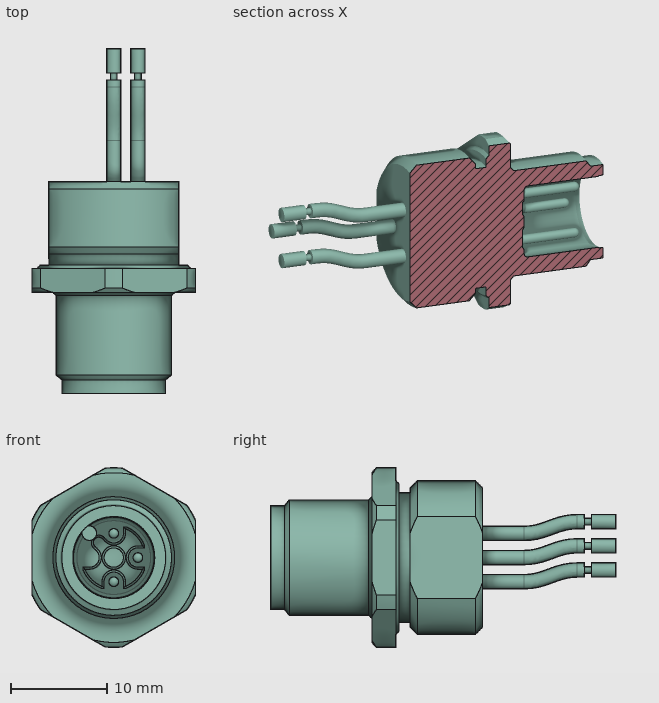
import cadquery as cq
import math


nose_end = 1.45
thread_start = 1.95
thread_end = 10.18
hex_front = 10.5
hex_back = 13.0
collar_back = 13.35
neck_end = 14.5
body_back = 22.0
body_chamfer_length = 0.75

nose_dia = 10.8
thread_dia = 12.0
thread_runout_dia = 12.65
collar_back_dia = 15.3
neck_dia = 13.5
body_dia = 16.0
body_end_dia = 14.45
collar_front_dia = body_dia
body_flat_width = neck_dia

hex_across_flats = 17.0
hex_half_angle = 30
hex_corner_dia = 18.68
hex_face_dia = 17.65
hex_chamfer_length = 0.45

mouth_dia = 8.55
mouth_depth = 0.5
bore_dia = 8.4
bore_depth = 8.95
bore_floor_fillet = 0.35
key_dia = 1.5
key_radial_offset = 3.6
key_angle = 135

recess_depth = 0.2
wall_run = 0.2
wall_draft = math.degrees(math.atan2(wall_run, recess_depth))
recess_floor_dia = 6.45
recess_floor_width = 5.95
pad_dia = 2.0
pad_foot_dia = pad_dia + 2 * wall_run
key_slot_reach = 2.98

contact_offset = 2.5
pin_dia = 1.0
pin_tip = 2.0
contact_centres = [(0, contact_offset), (contact_offset, 0), (0, -contact_offset)]
pad_angles = [0, 90, 180, 270]

wire_dia = 1.5
core_dia = 0.7
wire_rise = 1.22
bend_start = 26.3
bend_end = 31.85
sleeve_end = 32.6
core_end = 33.3
wire_end = 35.85


def section(y):
    """Sketch plane across the axis at station y, facing the mating end."""
    return cq.Workplane("XZ", origin=(0, y, 0))


def cylinder(dia, y_start, y_end, centre=(0, 0)):
    return section(y_end).center(*centre).circle(dia / 2).extrude(y_end - y_start)


def turned(stations):
    """Solid of revolution about Y through (diameter, y) stations."""
    outline = [(dia / 2, y) for dia, y in stations]
    first_y = stations[0][1]
    last_y = stations[-1][1]
    points = [(0, first_y)] + outline + [(0, last_y)]
    return cq.Workplane("XY").polyline(points).close().revolve(360, (0, 0, 0), (0, 1, 0))


def make_front_shell():
    return turned([
        (nose_dia, 0),
        (nose_dia, nose_end),
        (thread_dia, thread_start),
        (thread_dia, thread_end),
        (thread_runout_dia, hex_front),
    ])


def make_hex_flange():
    corner_to_corner = hex_across_flats / math.cos(math.radians(hex_half_angle))
    prism = (
        section(hex_back)
        .transformed(rotate=(0, 0, hex_half_angle))
        .polygon(6, corner_to_corner)
        .extrude(hex_back - hex_front)
    )
    blank = turned([
        (hex_face_dia, hex_front),
        (hex_corner_dia, hex_front + hex_chamfer_length),
        (hex_corner_dia, hex_back),
    ])
    return prism.intersect(blank)


def make_rear_shell():
    neck = turned([
        (collar_front_dia, hex_back),
        (collar_back_dia, collar_back),
        (neck_dia, collar_back),
        (neck_dia, neck_end),
    ])
    body = turned([
        (body_end_dia, neck_end),
        (body_dia, neck_end + body_chamfer_length),
        (body_dia, body_back - body_chamfer_length),
        (body_end_dia, body_back),
    ])
    flats = section(body_back).rect(body_flat_width, body_dia).extrude(body_back - neck_end)
    return neck.union(body.intersect(flats))


def make_socket():
    mouth = cylinder(mouth_dia, 0, mouth_depth)
    bore = cylinder(bore_dia, mouth_depth, bore_depth)
    return mouth.union(bore.faces(">Y").edges().fillet(bore_floor_fillet))


def radial(plane, angle, distance):
    """Turn a sketch plane to the given angle and move out from the axis."""
    return plane.transformed(rotate=(0, 0, angle)).center(distance, 0)


def make_floor_recess():
    """Volume removed from the socket floor; built up from its deepest plane."""
    floor = section(bore_depth + recess_depth)

    dish = floor.circle(recess_floor_dia / 2).extrude(recess_depth, taper=-wall_draft)
    square = floor.rect(recess_floor_width, recess_floor_width).extrude(recess_depth, taper=-wall_draft)
    recess = dish.intersect(square)

    land_start = contact_offset * math.sqrt(0.5)
    land_length = bore_dia / 2 - land_start
    land = (
        radial(floor, key_angle, land_start + land_length / 2)
        .rect(land_length, 2 * contact_offset)
        .extrude(recess_depth)
    )
    slot_floor_width = 2 * land_start - pad_foot_dia
    slot_floor_reach = key_slot_reach - wall_run
    slot = (
        radial(floor, key_angle, slot_floor_reach / 2)
        .slot2D(slot_floor_reach, slot_floor_width)
        .extrude(recess_depth, taper=-wall_draft)
    )
    recess = recess.cut(land).union(slot)

    pad_length = bore_dia / 2
    for angle in pad_angles:
        pad = (
            radial(floor, angle, contact_offset + (pad_length - pad_foot_dia) / 2)
            .slot2D(pad_length, pad_foot_dia)
            .extrude(recess_depth, taper=wall_draft)
        )
        recess = recess.cut(pad)

    island = floor.circle(pad_foot_dia / 2).extrude(recess_depth, taper=wall_draft)
    return recess.cut(island)


def make_key():
    x = key_radial_offset * math.cos(math.radians(key_angle))
    z = key_radial_offset * math.sin(math.radians(key_angle))
    return cylinder(key_dia, mouth_depth, bore_depth + recess_depth, (x, z))


def make_pin(centre):
    x, z = centre
    dome_y = pin_tip + pin_dia / 2
    dome = cq.Workplane("XY").sphere(pin_dia / 2).translate((x, dome_y, z))
    return cylinder(pin_dia, dome_y, bore_depth + recess_depth, centre).union(dome)


def make_wire(centre):
    x, z = centre
    raised = (x, z + wire_rise)
    bend_path = cq.Workplane("YZ", origin=(x, 0, 0)).spline(
        [(bend_start, z), (bend_end, z + wire_rise)],
        tangents=[(1, 0), (1, 0)],
    )
    bend = section(bend_start).center(x, z).circle(wire_dia / 2).sweep(bend_path)
    return (
        cylinder(wire_dia, body_back, bend_start, centre)
        .union(bend)
        .union(cylinder(wire_dia, bend_end, sleeve_end, raised))
        .union(cylinder(core_dia, sleeve_end, core_end, raised))
        .union(cylinder(wire_dia, core_end, wire_end, raised))
    )


shell = make_front_shell().union(make_hex_flange()).union(make_rear_shell())
result = shell.cut(make_socket()).cut(make_floor_recess()).union(make_key())
for contact in contact_centres:
    result = result.union(make_pin(contact)).union(make_wire(contact))